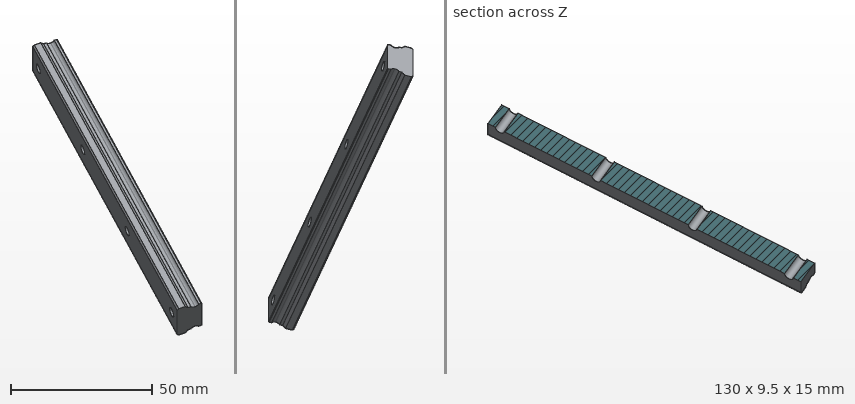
import cadquery as cq

length = 130.0
height = 9.5
width = 15.0
half_width = width / 2

base_chamfer = 0.6
base_flank_top = 3.1
neck_bottom = 4.2
head_chamfer = 0.3
head_half_width = 6.35

groove_radius = 1.6
groove_bottom = 5.3
groove_deepest = 6.9
groove_top = 8.3
groove_depth = 0.8

hole_diameter = 3.5
hole_pitch = 40.0
hole_count = 4


def half_profile():
    """Closed outline of the rail section on the +Z side of the mid-plane."""
    return (
        cq.Workplane("YZ", origin=(-length / 2, 0, 0))
        .moveTo(0, 0)
        .lineTo(0, half_width - base_chamfer)
        .lineTo(base_chamfer, half_width)
        .lineTo(base_flank_top, half_width)
        .lineTo(neck_bottom, head_half_width)
        .lineTo(groove_bottom, head_half_width)
        .radiusArc((groove_deepest, head_half_width - groove_depth), -groove_radius)
        .radiusArc((groove_top, head_half_width), -groove_radius)
        .lineTo(height - head_chamfer, head_half_width)
        .lineTo(height, head_half_width - head_chamfer)
        .lineTo(height, 0)
        .close()
    )


def rail_body():
    """Both halves of the section, extruded over the full length."""
    upper_half = half_profile().extrude(length)
    return upper_half.union(upper_half.mirror("XY")).clean()


def mounting_holes():
    """Row of plain through holes, centred on the rail length."""
    first_hole_x = -hole_pitch * (hole_count - 1) / 2
    centres = [(first_hole_x + i * hole_pitch, 0) for i in range(hole_count)]
    return (
        cq.Workplane("XZ")
        .pushPoints(centres)
        .circle(hole_diameter / 2)
        .extrude(-height)
    )


result = rail_body().cut(mounting_holes())